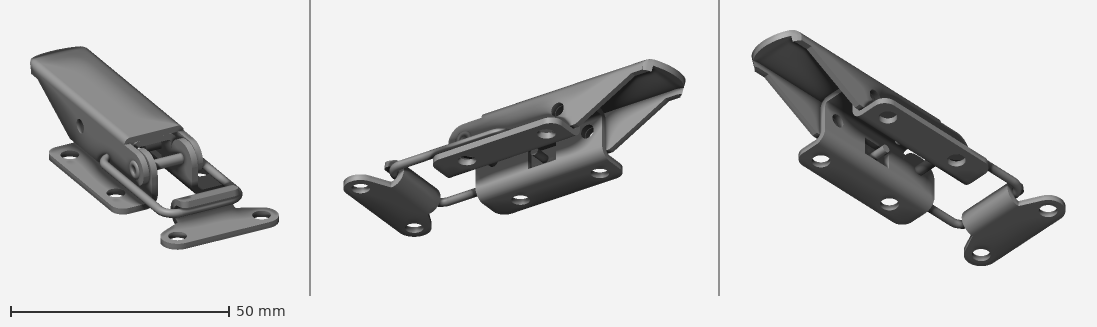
import cadquery as cq
import math


SHEET = 1.5
TOTAL_LENGTH = 84.4
TOTAL_HEIGHT = 13.75
SCREW_HOLE = 4.3
SCREW_PITCH = 21.95
THROUGH_ALL = 50.6

LEVER_WIDTH = 15.5
LEVER_INNER_WIDTH = LEVER_WIDTH - 2 * SHEET
LEVER_BEND_RADIUS = 1.6
LEVER_UNDERSIDE = TOTAL_HEIGHT - SHEET
LEVER_WALL_BOTTOM = 2.3
TOP_END = 49.2
NOSE_DEPTH = 3.0
NOSE_END = 7.8
WALL_BOTTOM_START = 23.2
WALL_BOTTOM_END = 51.1
REAR_SLOPE = 26.6
REAR_LOWER_RADIUS = 3.3
TIP_START = 4.6
TIP_ANGLE = 18.0
TIP_BEND_RADIUS = 5.0
TIP_ROUND = 9.3

PIVOT_RADIUS = 4.2
PIVOT_X = 54.2
PIVOT_Z = LEVER_UNDERSIDE - PIVOT_RADIUS
PIN_DIAMETER = 2.5
HEAD_RADIUS = 2.3
HEAD_HEIGHT = 0.4
DIMPLE_RADIUS = 0.85
DIMPLE_DEPTH = 0.5

LOCK_HOLE = 3.5
LOCK_HOLE_X = 28.2
LOCK_HOLE_Z = 7.7

BASE_LEFT = 24.1
BASE_LENGTH = 35.0
BASE_WIDTH = 30.0
BASE_CORNER = 3.0
BASE_HAT_WIDTH = 12.0
FOOT_BEND = 1.5
CROWN_BEND = 0.85
EAR_LENGTH = 10.0
EAR_RADIUS = 4.5
BASE_RIGHT = BASE_LEFT + BASE_LENGTH
EAR_CENTRE = BASE_RIGHT - EAR_LENGTH / 2
FOOT_TOP = SHEET + FOOT_BEND
BASE_HOLE_X = 29.1

WIRE_DIAMETER = 2.0
WIRE_BEND = 3.55
WIRE_Z = 5.4
WIRE_LEFT = 41.1
WIRE_RIGHT = 73.6
WIRE_HALF_WIDTH = 10.05
WIRE_END_GAP = 3.7
WINDOW_CENTRE = 40.8
WINDOW_LENGTH = 7.7

CATCH_BOTTOM = 2.0
CATCH_END_RADIUS = 4.0
CATCH_HOLE_X = TOTAL_LENGTH - CATCH_END_RADIUS
HOOK_WIDTH = 15.0
HOOK_RADIUS = 3.55
HOOK_X = 74.35
HOOK_LIP = 3.0
HOOK_LIP_ANGLE = 10.0
HOOK_CORNER = 1.6


def cross_cylinder(diameter, x, z):
    """Cylinder along Y through the whole latch."""
    return (
        cq.Workplane("XZ", origin=(x, 0, z))
        .circle(diameter / 2)
        .extrude(THROUGH_ALL / 2, both=True)
    )


def vertical_holes(points):
    """Cutter for screw holes along Z."""
    return cq.Workplane("XY").pushPoints(points).circle(SCREW_HOLE / 2).extrude(THROUGH_ALL)


def make_wire():
    end_y = WIRE_END_GAP / 2
    corner_y = WIRE_HALF_WIDTH - WIRE_BEND
    left_bend = WIRE_LEFT + WIRE_BEND
    right_bend = WIRE_RIGHT - WIRE_BEND
    side = WIRE_HALF_WIDTH
    path = (
        cq.Workplane("XY", origin=(0, 0, WIRE_Z))
        .moveTo(WIRE_LEFT, -end_y)
        .lineTo(WIRE_LEFT, -corner_y)
        .radiusArc((left_bend, -side), -WIRE_BEND)
        .lineTo(right_bend, -side)
        .radiusArc((WIRE_RIGHT, -corner_y), -WIRE_BEND)
        .lineTo(WIRE_RIGHT, corner_y)
        .radiusArc((right_bend, side), -WIRE_BEND)
        .lineTo(left_bend, side)
        .radiusArc((WIRE_LEFT, corner_y), -WIRE_BEND)
        .lineTo(WIRE_LEFT, end_y)
    )
    start = cq.Workplane("XZ", origin=(WIRE_LEFT, -end_y, WIRE_Z))
    return start.circle(WIRE_DIAMETER / 2).sweep(path)


def lever_section(x, bottom):
    """Inverted U across the lever at the given X, from the top down to `bottom`."""
    outer = LEVER_WIDTH / 2
    inner = LEVER_INNER_WIDTH / 2
    shoulder_y = outer - LEVER_BEND_RADIUS
    shoulder_z = TOTAL_HEIGHT - LEVER_BEND_RADIUS
    return (
        cq.Workplane("YZ", origin=(x, 0, 0))
        .moveTo(-outer, bottom)
        .lineTo(-outer, shoulder_z)
        .radiusArc((-shoulder_y, TOTAL_HEIGHT), LEVER_BEND_RADIUS)
        .lineTo(shoulder_y, TOTAL_HEIGHT)
        .radiusArc((outer, shoulder_z), LEVER_BEND_RADIUS)
        .lineTo(outer, bottom)
        .lineTo(inner, bottom)
        .lineTo(inner, LEVER_UNDERSIDE)
        .lineTo(-inner, LEVER_UNDERSIDE)
        .lineTo(-inner, bottom)
        .close()
    )


def lever_side_profile():
    """Side outline of the straight part of the lever, as a block across Y."""
    nose_z = TOTAL_HEIGHT - NOSE_DEPTH
    rear_x = PIVOT_X + PIVOT_RADIUS
    rear_rise = (rear_x - WALL_BOTTOM_END) * math.tan(math.radians(REAR_SLOPE))
    rear_z = LEVER_WALL_BOTTOM + rear_rise
    block = (
        cq.Workplane("XZ")
        .polyline([
            (TIP_START, TOTAL_HEIGHT),
            (TIP_START, nose_z),
            (NOSE_END, nose_z),
            (WALL_BOTTOM_START, LEVER_WALL_BOTTOM),
            (WALL_BOTTOM_END, LEVER_WALL_BOTTOM),
            (rear_x, rear_z),
            (rear_x, LEVER_UNDERSIDE),
            (TOP_END, LEVER_UNDERSIDE),
            (TOP_END, TOTAL_HEIGHT),
        ])
        .close()
        .extrude(LEVER_WIDTH, both=True)
    )
    block = block.edges(cq.NearestToPointSelector((rear_x, 0, LEVER_UNDERSIDE))).fillet(PIVOT_RADIUS)
    return block.edges(cq.NearestToPointSelector((rear_x, 0, rear_z))).fillet(REAR_LOWER_RADIUS)


def lever_tip():
    """Finger tip: the lever section bent downwards, cut to a round outline."""
    nose_z = TOTAL_HEIGHT - NOSE_DEPTH
    axis_z = TOTAL_HEIGHT - TIP_BEND_RADIUS
    angle = math.radians(TIP_ANGLE)
    straight = (TIP_START - TIP_BEND_RADIUS * math.sin(angle)) / math.cos(angle)

    def tilt(body):
        return body.rotate((TIP_START, 0, axis_z), (TIP_START, 1, axis_z), -TIP_ANGLE)

    bend = lever_section(TIP_START, nose_z).revolve(TIP_ANGLE, (0, axis_z), (-1, axis_z))
    flap = tilt(lever_section(TIP_START, nose_z).extrude(-straight))
    round_centre = TIP_START - straight + TIP_ROUND
    outline = (
        cq.Workplane("XY", origin=(round_centre, 0, 0))
        .circle(TIP_ROUND)
        .extrude(2 * TOTAL_HEIGHT)
    )
    return bend.union(flap).intersect(tilt(outline))


def make_lever(wire):
    rear_x = PIVOT_X + PIVOT_RADIUS
    channel = lever_section(TIP_START, 0).extrude(rear_x - TIP_START)
    lever = channel.intersect(lever_side_profile()).union(lever_tip())
    lever = lever.cut(cross_cylinder(PIN_DIAMETER, PIVOT_X, PIVOT_Z))
    lever = lever.cut(cross_cylinder(LOCK_HOLE, LOCK_HOLE_X, LOCK_HOLE_Z))
    return lever.cut(wire)


def base_hat():
    """Hat-shaped sheet: two flanges, two upright walls and the top web."""
    flange_y = BASE_WIDTH / 2
    outer = BASE_HAT_WIDTH / 2
    inner = outer - SHEET
    foot_y = outer + FOOT_BEND
    crown_y = inner - CROWN_BEND
    crown_z = LEVER_UNDERSIDE - SHEET - CROWN_BEND
    foot_outer = FOOT_BEND + SHEET
    crown_outer = CROWN_BEND + SHEET
    return (
        cq.Workplane("YZ", origin=(BASE_LEFT, 0, 0))
        .moveTo(-flange_y, 0)
        .lineTo(-flange_y, SHEET)
        .lineTo(-foot_y, SHEET)
        .radiusArc((-outer, FOOT_TOP), -FOOT_BEND)
        .lineTo(-outer, crown_z)
        .radiusArc((-crown_y, LEVER_UNDERSIDE), crown_outer)
        .lineTo(crown_y, LEVER_UNDERSIDE)
        .radiusArc((outer, crown_z), crown_outer)
        .lineTo(outer, FOOT_TOP)
        .radiusArc((foot_y, SHEET), -FOOT_BEND)
        .lineTo(flange_y, SHEET)
        .lineTo(flange_y, 0)
        .lineTo(foot_y, 0)
        .radiusArc((inner, FOOT_TOP), foot_outer)
        .lineTo(inner, crown_z)
        .radiusArc((crown_y, LEVER_UNDERSIDE - SHEET), -CROWN_BEND)
        .lineTo(-crown_y, LEVER_UNDERSIDE - SHEET)
        .radiusArc((-inner, crown_z), -CROWN_BEND)
        .lineTo(-inner, FOOT_TOP)
        .radiusArc((-foot_y, 0), foot_outer)
        .close()
        .extrude(BASE_LENGTH)
    )


def base_ears():
    """Two flat ears with rounded tops that carry the pin."""
    profile = (
        cq.Workplane("XY", origin=(EAR_CENTRE, 0, FOOT_TOP))
        .rect(EAR_LENGTH, BASE_HAT_WIDTH)
        .extrude(LEVER_UNDERSIDE - FOOT_TOP)
        .edges(">Z and |Y")
        .fillet(EAR_RADIUS)
    )
    between = (
        cq.Workplane("XY", origin=(EAR_CENTRE, 0, FOOT_TOP))
        .rect(EAR_LENGTH, BASE_HAT_WIDTH - 2 * SHEET)
        .extrude(LEVER_UNDERSIDE)
    )
    return profile.cut(between)


def make_base():
    above_feet = (
        cq.Workplane("XY", origin=(EAR_CENTRE, 0, FOOT_TOP))
        .rect(EAR_LENGTH, BASE_WIDTH)
        .extrude(TOTAL_HEIGHT)
    )
    hat = base_hat().edges("|Z").edges("<Y or >Y").fillet(BASE_CORNER)
    base = hat.cut(above_feet).union(base_ears())
    window = (
        cq.Workplane("XY", origin=(WINDOW_CENTRE, 0, FOOT_TOP))
        .rect(WINDOW_LENGTH, THROUGH_ALL)
        .extrude(2 * (WIRE_Z - FOOT_TOP))
    )
    half_pitch = SCREW_PITCH / 2
    hole_xs = (BASE_HOLE_X, BASE_HOLE_X + SCREW_PITCH)
    holes = vertical_holes([(x, side * half_pitch) for x in hole_xs for side in (-1, 1)])
    base = base.cut(window).cut(holes)
    base = base.cut(cross_cylinder(PIN_DIAMETER, PIVOT_X, PIVOT_Z))
    return base.cut(cross_cylinder(LOCK_HOLE, LOCK_HOLE_X, LOCK_HOLE_Z))


def make_pin():
    """Rivet with a domed, dimpled head on each outer face of the lever."""
    face = LEVER_WIDTH / 2
    shank = PIN_DIAMETER / 2
    ring = (HEAD_RADIUS + DIMPLE_RADIUS) / 2
    crest = face + HEAD_HEIGHT
    dimple = face - DIMPLE_DEPTH
    return (
        cq.Workplane("XY", origin=(PIVOT_X, 0, PIVOT_Z))
        .moveTo(0, -dimple)
        .lineTo(DIMPLE_RADIUS, -face)
        .threePointArc((ring, -crest), (HEAD_RADIUS, -face))
        .lineTo(shank, -face)
        .lineTo(shank, face)
        .lineTo(HEAD_RADIUS, face)
        .threePointArc((ring, crest), (DIMPLE_RADIUS, face))
        .lineTo(0, dimple)
        .close()
        .revolve(360, (0, 0), (0, 1))
    )


def catch_plate():
    """Flat plate that widens from the hook to two rounded ends with screw holes."""
    hole_y = SCREW_PITCH / 2
    neck_y = HOOK_WIDTH / 2
    to_neck = (HOOK_X - CATCH_HOLE_X, neck_y - hole_y)
    tangent = math.atan2(to_neck[1], to_neck[0]) % math.tau
    tangent -= math.acos(CATCH_END_RADIUS / math.hypot(*to_neck))

    def on_end(angle, side):
        x = CATCH_HOLE_X + CATCH_END_RADIUS * math.cos(angle)
        y = hole_y + CATCH_END_RADIUS * math.sin(angle)
        return (x, side * y)

    plate = (
        cq.Workplane("XY", origin=(0, 0, CATCH_BOTTOM))
        .moveTo(HOOK_X, neck_y)
        .lineTo(*on_end(tangent, 1))
        .threePointArc(on_end(tangent / 2, 1), on_end(0, 1))
        .lineTo(*on_end(0, -1))
        .threePointArc(on_end(tangent / 2, -1), on_end(tangent, -1))
        .lineTo(HOOK_X, -neck_y)
        .close()
        .extrude(SHEET)
    )
    return plate.cut(vertical_holes([(CATCH_HOLE_X, hole_y), (CATCH_HOLE_X, -hole_y)]))


def catch_hook():
    """Strip bent up and back over the wire, ending in a straight lip with rounded corners."""
    angle = math.radians(HOOK_LIP_ANGLE)
    centre_z = CATCH_BOTTOM + HOOK_RADIUS
    inner = HOOK_RADIUS - SHEET

    def lip_point(radius, along):
        x = HOOK_X - radius * math.sin(angle) + along * math.cos(angle)
        z = centre_z + radius * math.cos(angle) + along * math.sin(angle)
        return (x, z)

    hook = (
        cq.Workplane("XZ")
        .moveTo(HOOK_X, CATCH_BOTTOM)
        .threePointArc((HOOK_X - HOOK_RADIUS, centre_z), lip_point(HOOK_RADIUS, 0))
        .lineTo(*lip_point(HOOK_RADIUS, HOOK_LIP))
        .lineTo(*lip_point(inner, HOOK_LIP))
        .lineTo(*lip_point(inner, 0))
        .threePointArc((HOOK_X - inner, centre_z), (HOOK_X, CATCH_BOTTOM + SHEET))
        .close()
        .extrude(HOOK_WIDTH / 2, both=True)
    )
    lip_x, lip_z = lip_point(HOOK_RADIUS - SHEET / 2, HOOK_LIP)
    for side in (-1, 1):
        corner = cq.NearestToPointSelector((lip_x, side * HOOK_WIDTH / 2, lip_z))
        hook = hook.edges(corner).fillet(HOOK_CORNER)
    return hook


def make_catch():
    return catch_plate().union(catch_hook())


wire = make_wire()
lever = make_lever(wire)
base = make_base()
pin = make_pin()
catch = make_catch()

result = cq.Compound.makeCompound([base.val(), lever.val(), pin.val(), wire.val(), catch.val()])